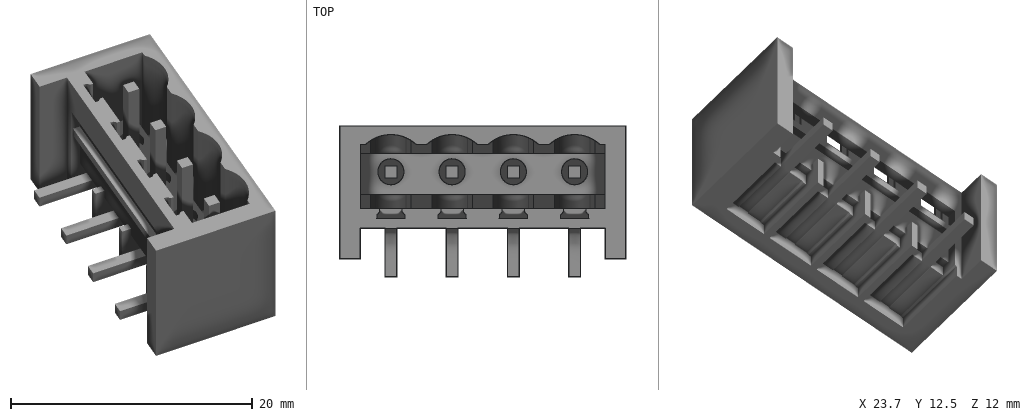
import cadquery as cq
import math


length = 23.72
height = 12.0
body_front = -8.5
wing_front = -11.0
end_wall = 1.7

pin_count = 4
pitch = 5.08
pin_size = 1.0
pin_axis_y = -3.8
pin_bottom = 1.55
pin_top = 11.15
pin_tip_y = -12.5
leg_top = pin_bottom + pin_size
first_pin_x = -pitch * (pin_count - 1) / 2
pin_places = [first_pin_x + i * pitch for i in range(pin_count)]
post_places = [x + pitch / 2 for x in pin_places[:-1]]

cavity_half = length / 2 - end_wall
cavity_back = -1.55
cavity_front = -6.85
floor_top = 3.0
scallop_radius = 3.08

bar_back = -2.28
bar_front = -5.67
bar_top = 4.98
collar_diameter = 2.15
collar_depth = 1.0
hump_half_base = 1.68
hump_half_shoulder = 1.25
hump_flank_angle = 57.5

recess_half = 9.42
recess_top = 8.85
recess_back = -7.65
ledge_bottom = 5.95
ledge_top = 6.71
ledge_front = -8.28
undercut_back = -7.0
undercut_top = leg_top

slot_bottom = 7.9
slot_half_neck = 0.93
slot_half_mouth = 1.16
slot_neck_depth = 0.25
slot_flare_depth = 0.25

pocket_right = 9.63
pocket_ceiling = 1.25
bay_ceiling = 1.4
bay_half_top = 1.78
bay_half_base = 1.95
post_width = 0.62
post_top = 3.32


def block(x_min, x_max, y_min, y_max, z_min, z_max):
    """Box given by its limits along each axis."""
    return cq.Workplane("XY").box(
        x_max - x_min, y_max - y_min, z_max - z_min, centered=False
    ).translate((x_min, y_min, z_min))


def extrude_along_y(outline, y_min, y_max):
    """Solid between two Y values from a closed outline drawn on the XZ plane."""
    return outline.extrude(y_max - y_min).translate((0, y_max, 0))


def outer_shell():
    """Main block with an end wing on each side of its front."""
    shell = block(-length / 2, length / 2, wing_front, 0, 0, height)
    return shell.cut(block(-cavity_half, cavity_half, wing_front, body_front, 0, height))


def cavity():
    """Open-topped cavity with a round scallop in its back wall behind each pin."""
    space = block(-cavity_half, cavity_half, cavity_front, cavity_back, floor_top, height)
    reach = block(-cavity_half, cavity_half, cavity_front, 0, floor_top, height)
    for x in pin_places:
        scallop = (
            cq.Workplane("XY", origin=(x, pin_axis_y, floor_top))
            .circle(scallop_radius)
            .extrude(height - floor_top)
        )
        space = space.union(scallop.intersect(reach))
    return space


def hump(x):
    """Floor hump running along Y: steep flanks joined by a tangent arc."""
    flank = math.radians(hump_flank_angle)
    radius = hump_half_shoulder / math.sin(flank)
    shoulder = floor_top + (hump_half_base - hump_half_shoulder) * math.tan(flank)
    crest = shoulder + radius * (1 - math.cos(flank))
    outline = (
        cq.Workplane("XZ")
        .moveTo(x - hump_half_base, floor_top)
        .lineTo(x - hump_half_shoulder, shoulder)
        .threePointArc((x, crest), (x + hump_half_shoulder, shoulder))
        .lineTo(x + hump_half_base, floor_top)
        .close()
    )
    return extrude_along_y(outline, cavity_front, 0)


def bar():
    """Raised bar that carries the upright pin legs, with a round recess about each."""
    body = block(-cavity_half, cavity_half, bar_front, bar_back, floor_top, bar_top)
    recesses = (
        cq.Workplane("XY", origin=(0, 0, bar_top - collar_depth))
        .pushPoints([(x, pin_axis_y) for x in pin_places])
        .circle(collar_diameter / 2)
        .extrude(collar_depth)
    )
    return body, recesses


def front_recess():
    """Recess in the front face, less its ledge, plus the deeper step at the bottom."""
    space = block(-recess_half, recess_half, body_front, recess_back, 0, recess_top)
    ledge = block(-recess_half, recess_half, ledge_front, recess_back, ledge_bottom, ledge_top)
    undercut = block(-recess_half, recess_half, body_front, undercut_back, 0, undercut_top)
    return space.cut(ledge).union(undercut)


def coding_slot(x):
    """Dovetail slot, open to the cavity and widening towards the front."""
    flare_start = cavity_front - slot_neck_depth
    flare_end = flare_start - slot_flare_depth
    return (
        cq.Workplane("XY", origin=(x, 0, slot_bottom))
        .moveTo(-slot_half_neck, cavity_front)
        .lineTo(-slot_half_neck, flare_start)
        .lineTo(-slot_half_mouth, flare_end)
        .lineTo(-slot_half_mouth, recess_back)
        .lineTo(slot_half_mouth, recess_back)
        .lineTo(slot_half_mouth, flare_end)
        .lineTo(slot_half_neck, flare_start)
        .lineTo(slot_half_neck, cavity_front)
        .close()
        .extrude(height - slot_bottom)
    )


def bottom_pocket():
    """Underside pocket, open at the front, with a slightly higher bay under each pin."""
    pocket = block(-recess_half, pocket_right, body_front, cavity_back, 0, pocket_ceiling)
    for x in pin_places:
        bay = (
            cq.Workplane("XZ")
            .moveTo(x - bay_half_base, pocket_ceiling)
            .lineTo(x - bay_half_top, bay_ceiling)
            .lineTo(x + bay_half_top, bay_ceiling)
            .lineTo(x + bay_half_base, pocket_ceiling)
            .close()
        )
        pocket = pocket.union(extrude_along_y(bay, body_front, cavity_back))
    limits = block(-recess_half, pocket_right, body_front, cavity_back, 0, height)
    return pocket.intersect(limits)


def post(x):
    """Thin upright rib between two pins, standing out to the front face."""
    left = x - post_width / 2
    right = x + post_width / 2
    foot = block(left, right, body_front, cavity_back, 0, pocket_ceiling)
    return foot.union(block(left, right, body_front, undercut_back, 0, undercut_top)).union(
        block(left, right, body_front, recess_back, 0, post_top)
    )


def pin(x):
    """L-shaped square pin: an upright leg and a leg that leaves through the front."""
    upright_back = pin_axis_y + pin_size / 2
    upright_front = pin_axis_y - pin_size / 2
    return (
        cq.Workplane("YZ", origin=(x - pin_size / 2, 0, 0))
        .moveTo(pin_tip_y, pin_bottom)
        .lineTo(upright_back, pin_bottom)
        .lineTo(upright_back, pin_top)
        .lineTo(upright_front, pin_top)
        .lineTo(upright_front, leg_top)
        .lineTo(pin_tip_y, leg_top)
        .close()
        .extrude(pin_size)
    )


def pin_channel(x):
    """Slot between a pin's front leg and the pocket ceiling, as wide as the pin."""
    half = pin_size / 2
    return block(x - half, x + half, undercut_back, cavity_back, bay_ceiling, pin_bottom)


def build_housing():
    """Housing with square holes that the pins fill exactly."""
    space = cavity()
    bar_body, collar_recesses = bar()
    body = outer_shell().cut(space)
    for x in pin_places:
        body = body.union(hump(x).intersect(space))
    body = body.union(bar_body).cut(collar_recesses)
    body = body.cut(front_recess()).cut(bottom_pocket())
    for x in pin_places:
        body = body.cut(coding_slot(x))
    for x in post_places:
        body = body.union(post(x))
    for x in pin_places:
        body = body.cut(pin_channel(x)).cut(pin(x))
    return body.solids()


housing = build_housing()
pins = [pin(x) for x in pin_places]

result = cq.Compound.makeCompound([housing.val(), *[p.val() for p in pins]])